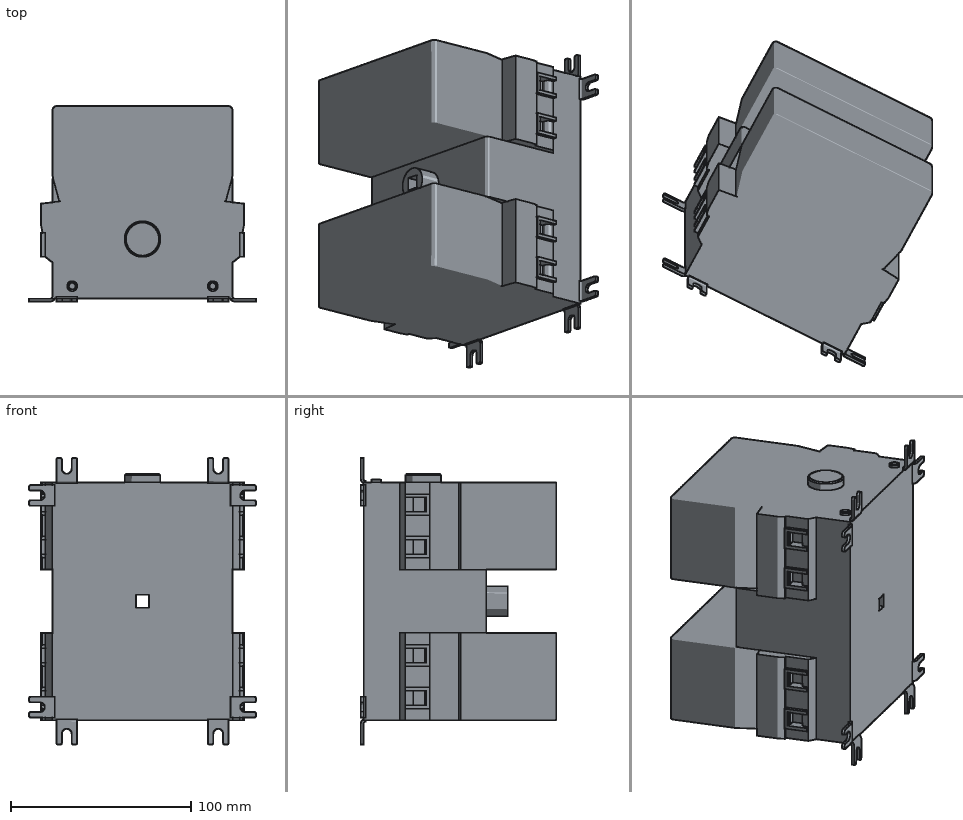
import cadquery as cq
HALF_WIDTH = 50.0
HALF_HEIGHT = 66.0
MID_DEPTH = 68.0
MID_CORNER_RADIUS = 1.9

OVERALL_DEPTH = 106.9
COVER_INNER_Z = 17.5
COVER_CORNER_RADIUS = 2.4
COVER_EDGE_RADIUS = 0.6
COVER_NECK_HALF_WIDTH = 46.1
COVER_NECK_Y = 53.9
COVER_ROOT_Y = 39.8

BLOCK_HALF_WIDTH = 56.3
BLOCK_BACK_Y = 52.8
BLOCK_BEVEL_Y = 40.7
BLOCK_STEP_Y = 36.5
BLOCK_STEP_HALF_WIDTH = 55.5
BLOCK_SEAT_HALF_WIDTH = 53.9
BLOCK_FRONT_Y = 23.2
BLOCK_TOE_Y = 20.0

FRAME_HEIGHT = 11.8
FRAME_CENTERS_Z = (30.0, 53.6)
WINDOW_HEIGHT = 8.0
WINDOW_BACK_Y = 34.8
WELL_BACK_Y = 34.0
WELL_FRONT_Y = 27.5
WELL_DEPTH = 6.4
WELL_LIP_RADIUS = 2.4

SHAFT_DIAMETER = 16.9
SHAFT_END_Y = 80.0
SQUARE_HOLE = 7.2

BUTTON_DIAMETER = 19.9
BUTTON_HEIGHT = 4.6
BUTTON_CHAMFER = 0.8
BUTTON_Y = 33.0
SCREW_DIAMETER = 5.5
SCREW_HEIGHT = 1.7
SCREW_CHAMFER = 1.0
SCREW_X = 39.0
SCREW_Y = 7.0

LUG_WIDTH = 11.6
LUG_THICKNESS = 1.6
LUG_BEND_RADIUS = 2.7
LUG_FOOT_SINK = 0.8
LUG_TIP_RADIUS = 1.1
LUG_SLOT_WIDTH = 5.2
LUG_SLOT_DEPTH = 8.7
END_LUG_TIP_Z = 79.5
END_LUG_X = 42.0
SIDE_LUG_TIP_X = 63.0
SIDE_LUG_Z = 58.7
SIDE_LUG_INSET = 0.6


def box_between(x_range, y_range, z_range):
    """Box given by its lower and upper limit along each axis."""
    size = [high - low for low, high in (x_range, y_range, z_range)]
    corner = cq.Vector(x_range[0], y_range[0], z_range[0])
    return cq.Workplane(cq.Solid.makeBox(*size, pnt=corner))


def symmetric_prism(right_side, bottom_z, top_z):
    """Prism along Z whose outline is the given +X side and its mirror image."""
    left_side = [(-x, y) for x, y in reversed(right_side)]
    outline = cq.Workplane("XY").workplane(offset=bottom_z).polyline(right_side + left_side).close()
    return outline.extrude(top_z - bottom_z)


def make_middle():
    body = box_between((-HALF_WIDTH, HALF_WIDTH), (0, MID_DEPTH), (-COVER_INNER_Z, COVER_INNER_Z))
    return body.edges("|Z and >Y").fillet(MID_CORNER_RADIUS)


def make_cover():
    side = [
        (COVER_NECK_HALF_WIDTH, COVER_ROOT_Y),
        (COVER_NECK_HALF_WIDTH, COVER_NECK_Y),
        (HALF_WIDTH, MID_DEPTH),
        (HALF_WIDTH, OVERALL_DEPTH),
    ]
    cover = symmetric_prism(side, COVER_INNER_Z, HALF_HEIGHT)
    cover = cover.edges("|Z and >Y").fillet(COVER_CORNER_RADIUS)
    return cover.faces("|Z").edges().fillet(COVER_EDGE_RADIUS)


def make_block():
    side = [
        (HALF_WIDTH, 0),
        (HALF_WIDTH, BLOCK_TOE_Y),
        (BLOCK_SEAT_HALF_WIDTH, BLOCK_FRONT_Y),
        (BLOCK_SEAT_HALF_WIDTH, BLOCK_STEP_Y),
        (BLOCK_STEP_HALF_WIDTH, BLOCK_STEP_Y),
        (BLOCK_HALF_WIDTH, BLOCK_BEVEL_Y),
        (BLOCK_HALF_WIDTH, BLOCK_BACK_Y),
        (COVER_NECK_HALF_WIDTH, COVER_NECK_Y),
    ]
    return symmetric_prism(side, COVER_INNER_Z, HALF_HEIGHT)


def make_frame(center_z):
    z_range = (center_z - FRAME_HEIGHT / 2, center_z + FRAME_HEIGHT / 2)
    return box_between((HALF_WIDTH, BLOCK_HALF_WIDTH), (BLOCK_FRONT_Y, BLOCK_STEP_Y), z_range)


def make_window(center_z):
    well_x = BLOCK_HALF_WIDTH - WELL_DEPTH
    return (
        cq.Workplane("XY", origin=(0, 0, center_z - WINDOW_HEIGHT / 2))
        .moveTo(BLOCK_HALF_WIDTH, BLOCK_FRONT_Y)
        .lineTo(BLOCK_HALF_WIDTH, WINDOW_BACK_Y)
        .lineTo(BLOCK_SEAT_HALF_WIDTH, WINDOW_BACK_Y)
        .lineTo(BLOCK_SEAT_HALF_WIDTH, WELL_BACK_Y)
        .lineTo(well_x, WELL_BACK_Y)
        .lineTo(well_x, WELL_FRONT_Y)
        .lineTo(BLOCK_SEAT_HALF_WIDTH - WELL_LIP_RADIUS, WELL_FRONT_Y)
        .radiusArc((BLOCK_SEAT_HALF_WIDTH, WELL_FRONT_Y - WELL_LIP_RADIUS), WELL_LIP_RADIUS)
        .lineTo(BLOCK_SEAT_HALF_WIDTH, BLOCK_FRONT_Y)
        .close()
        .extrude(WINDOW_HEIGHT)
    )


def make_upper_end():
    end = make_block().union(make_cover())
    for center_z in FRAME_CENTERS_Z:
        frame = make_frame(center_z)
        window = make_window(center_z)
        end = end.union(frame).union(frame.mirror("YZ"))
        end = end.cut(window).cut(window.mirror("YZ"))
    return end


def make_lug(reach):
    """Lug pointing along +Z, centred on X, with the housing wall at Z = 0."""
    foot_y = LUG_BEND_RADIUS - LUG_THICKNESS
    profile = (
        cq.Workplane("YZ")
        .moveTo(0, reach)
        .lineTo(-LUG_THICKNESS, reach)
        .lineTo(-LUG_THICKNESS, LUG_BEND_RADIUS - LUG_FOOT_SINK)
        .radiusArc((foot_y, -LUG_FOOT_SINK), -LUG_BEND_RADIUS)
        .lineTo(foot_y, LUG_THICKNESS - LUG_FOOT_SINK)
        .radiusArc((0, LUG_BEND_RADIUS - LUG_FOOT_SINK), foot_y)
        .close()
    )
    plate = profile.extrude(LUG_WIDTH / 2, both=True)
    slot_end_z = reach - LUG_SLOT_DEPTH + LUG_SLOT_WIDTH / 2
    slot_y = (-LUG_THICKNESS, 0)
    slot = box_between((-LUG_SLOT_WIDTH / 2, LUG_SLOT_WIDTH / 2), slot_y, (slot_end_z, reach))
    slot_end = (
        cq.Workplane("XZ", origin=(0, 0, slot_end_z))
        .circle(LUG_SLOT_WIDTH / 2)
        .extrude(LUG_THICKNESS)
    )
    return plate.cut(slot).cut(slot_end).edges("|Y and >Z").fillet(LUG_TIP_RADIUS)


def make_lugs():
    """The four lugs of the upper half."""
    end_lug = make_lug(END_LUG_TIP_Z - HALF_HEIGHT).translate((END_LUG_X, 0, HALF_HEIGHT))
    side_base_x = HALF_WIDTH - SIDE_LUG_INSET
    side_lug = (
        make_lug(SIDE_LUG_TIP_X - side_base_x)
        .rotate((0, 0, 0), (0, 1, 0), 90)
        .translate((side_base_x, 0, SIDE_LUG_Z))
    )
    return [end_lug, end_lug.mirror("YZ"), side_lug, side_lug.mirror("YZ")]


def make_top_disc(x, y, diameter, height, chamfer_width, chamfer_height):
    disc = cq.Workplane("XY", origin=(x, y, HALF_HEIGHT)).circle(diameter / 2).extrude(height)
    return disc.faces(">Z").chamfer(chamfer_height, chamfer_width)


result = make_middle()

upper_end = make_upper_end()
result = result.union(upper_end).union(upper_end.mirror("XY"))

for lug in make_lugs():
    result = result.union(lug).union(lug.mirror("XY"))

result = result.union(
    make_top_disc(0, BUTTON_Y, BUTTON_DIAMETER, BUTTON_HEIGHT, BUTTON_CHAMFER, BUTTON_CHAMFER)
)
for screw_x in (-SCREW_X, SCREW_X):
    result = result.union(
        make_top_disc(screw_x, SCREW_Y, SCREW_DIAMETER, SCREW_HEIGHT, SCREW_CHAMFER, SCREW_CHAMFER / 2)
    )

shaft = cq.Workplane("XZ").circle(SHAFT_DIAMETER / 2).extrude(-SHAFT_END_Y)
square_hole = cq.Workplane("XZ").rect(SQUARE_HOLE, SQUARE_HOLE).extrude(-SHAFT_END_Y)
result = result.union(shaft).cut(square_hole)